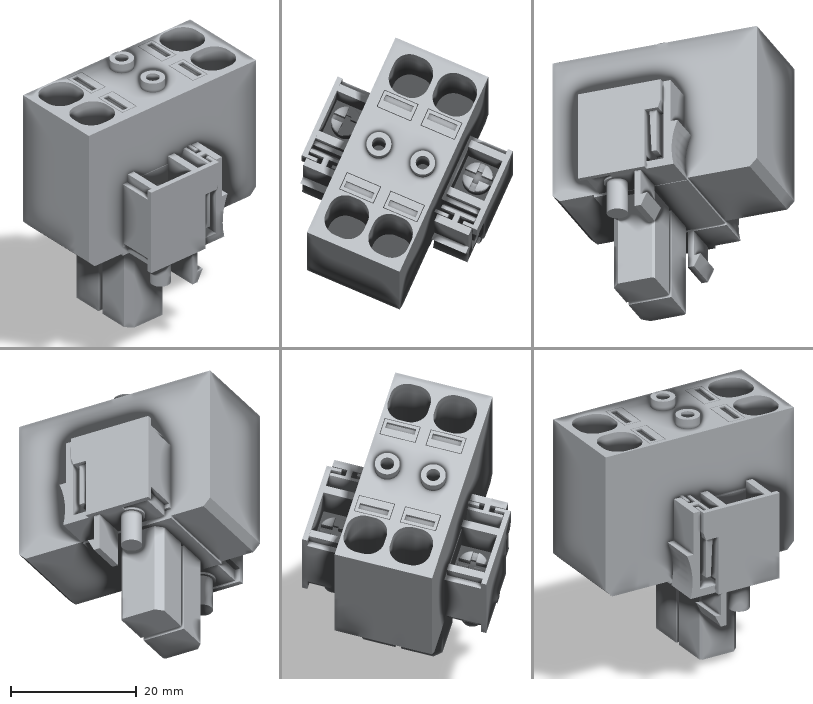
import cadquery as cq


TOP_Z = 40.9
HOUSING_BOTTOM_Z = 15.95
HOUSING_LEFT = -7.85
HOUSING_RIGHT = 8.3
HOUSING_DEPTH = 35.05
HOUSING_CHAMFER = 1.25
BASE_Z = 15.55
POLE_X = (-4.15, 3.5)

WIRE_Y = 12.7
WIRE_WIDTH = 6.65
WIRE_LENGTH = 6.9
WIRE_CORNER_RADIUS = 2.75
WIRE_DEPTH = 12.77
BOSS_DIAMETER = 3.95
BOSS_TOP_Z = 42.6
TEST_HOLE_DIAMETER = 2.2
TEST_HOLE_DEPTH = 5.1

PRONG_INNER_X = 0.45
PRONG_OUTER_X = 7.0
PRONG_FRONT_Y = -8.0
PRONG_BACK_Y = -0.65
PRONG_FRONT_CHAMFER = 1.15
PRONG_BACK_CHAMFER = 0.35

PUSHER_Y = 7.4
PUSHER_WIDTH = 5.75
PUSHER_LENGTH = 2.85
PUSHER_HEIGHT = 5.1
PUSHER_GAP = 0.105
SLOT_WIDTH = 4.85
SLOT_LENGTH = 1.05
SLOT_DEPTH = 0.5
SLOT_SHIFT = 0.4

FLANGE_X = 11.4
FLANGE_HALF = 3.0
PLATE_OUTER_X = 15.25
FLANGE_TOP_Z = 30.65
FRONT_Y = -10.4
SHELF_TOP_Z = 28.95
SHELF_BOTTOM_Z = 17.93
SHELF_BACK_Y = 1.02
INNER_WALL_BOTTOM_Z = 17.2
BLOCK_FRONT_Y = -9.45
BLOCK_BACK_Y = 0.25
BLOCK_BOTTOM_Z = 15.92
BLOCK_TOP_Z = 30.55
CHAMBER_FRONT_Y = -8.2
CHAMBER_BACK_Y = -1.05
CHAMBER_FLOOR_Z = 24.7
COLLAR_DIAMETER = 4.35

ARM_FRONT_Y = 3.9
ARM_BACK_Y = 5.15
ARM_TIP_Y = 6.35
ARM_TIP_Z = 23.3
ARM_HEEL_Y = 5.65
ARM_WAIST = (5.55, 20.65)
FLOOR_TOP_Z = 16.85
STEM_WIDTH = 0.9
STEM_FRONT_Y = 1.95
TONGUE_GAP = 0.1
TONGUE_BACK_Y = 2.73
TONGUE_TOP_Y = 2.2
TONGUE_NOSE = (1.4, 28.3)
TONGUE_BOTTOM = (1.87, 18.55)

LIP_TIP = 1.3
LIP_BACK_Y = 3.8
LIP_TOP_FRONT_Y = 3.28
LIP_FRONT_Y = 2.8
LIP_FRONT_SLOPE_Z = 28.95
LIP_BACK_SLOPE_Z = 27.05
LIP_BOTTOM_BACK_Y = 3.3
WINDOW_TOP_Z = 25.7

HOOK_BACK_Y = 0.05
HOOK_FRONT_Y = -1.02
HOOK_TIP = (1.15, 11.35)
HOOK_ROOT_Z = 11.2
HOOK_BOTTOM_Z = 9.25

SCREW_Y = -5.15
HEAD_DIAMETER = 4.85
HEAD_HEIGHT = 2.15
HEAD_CHAMFER = 0.13
SHANK_DIAMETER = 3.4
SHANK_BOTTOM_Z = 10.15
CROSS_WIDTH = 1.0
CROSS_DEPTH = 0.5
RECESS_LENGTH = 2.15
RECESS_DEPTH = 1.02


def box(x, y, z):
    """Box between pairs of limits along X, Y and Z."""
    size = (x[1] - x[0], y[1] - y[0], z[1] - z[0])
    return cq.Workplane("XY").box(*size, centered=False).translate((x[0], y[0], z[0]))


def cylinder(diameter, x, y, z):
    """Upright cylinder between the two heights in z."""
    return cq.Workplane("XY", origin=(x, y, z[0])).circle(diameter / 2).extrude(z[1] - z[0])


def prism(outline, x):
    """Closed YZ outline extruded between the two limits along X."""
    return outline.close().extrude(x[1] - x[0]).translate((x[0], 0, 0))


def wire_hole(x, y):
    """Almost round opening with short flats on its four sides."""
    hole = box(
        (x - WIRE_WIDTH / 2, x + WIRE_WIDTH / 2),
        (y - WIRE_LENGTH / 2, y + WIRE_LENGTH / 2),
        (TOP_Z - WIRE_DEPTH, TOP_Z),
    )
    return hole.edges("|Z").fillet(WIRE_CORNER_RADIUS)


def pusher_block(x, y, gap):
    """Pusher without its slot, enlarged by the gap on each side."""
    return box(
        (x - PUSHER_WIDTH / 2 - gap, x + PUSHER_WIDTH / 2 + gap),
        (y - PUSHER_LENGTH / 2 - gap, y + PUSHER_LENGTH / 2 + gap),
        (TOP_Z - PUSHER_HEIGHT, TOP_Z),
    )


def make_pusher(x, row):
    y = row * PUSHER_Y
    slot_y = y + row * SLOT_SHIFT
    slot = box(
        (x - SLOT_WIDTH / 2, x + SLOT_WIDTH / 2),
        (slot_y - SLOT_LENGTH / 2, slot_y + SLOT_LENGTH / 2),
        (TOP_Z - SLOT_DEPTH, TOP_Z),
    )
    return pusher_block(x, y, 0).cut(slot)


def prong(side):
    outline = [
        (PRONG_INNER_X, PRONG_FRONT_Y),
        (PRONG_OUTER_X - PRONG_FRONT_CHAMFER, PRONG_FRONT_Y),
        (PRONG_OUTER_X, PRONG_FRONT_Y + PRONG_FRONT_CHAMFER),
        (PRONG_OUTER_X, PRONG_BACK_Y - PRONG_BACK_CHAMFER),
        (PRONG_OUTER_X - PRONG_BACK_CHAMFER, PRONG_BACK_Y),
        (PRONG_INNER_X, PRONG_BACK_Y),
    ]
    return cq.Workplane("XY").polyline([(side * x, y) for x, y in outline]).close().extrude(BASE_Z)


def guide_lip(x):
    """Lip in front of the latching arm, tapered at the top front and at the bottom back."""
    outline = cq.Workplane("YZ").polyline([
        (LIP_BACK_Y, FLANGE_TOP_Z),
        (LIP_BACK_Y, LIP_BACK_SLOPE_Z),
        (LIP_BOTTOM_BACK_Y, WINDOW_TOP_Z),
        (LIP_FRONT_Y, WINDOW_TOP_Z),
        (LIP_FRONT_Y, LIP_FRONT_SLOPE_Z),
        (LIP_TOP_FRONT_Y, FLANGE_TOP_Z),
    ])
    return prism(outline, x)


def make_housing():
    half = HOUSING_DEPTH / 2
    body = box((HOUSING_LEFT, HOUSING_RIGHT), (-half, half), (HOUSING_BOTTOM_Z, TOP_Z))
    body = body.faces("<Z").edges("|X").chamfer(HOUSING_CHAMFER)
    body = body.union(
        box((HOUSING_LEFT, HOUSING_RIGHT), (FRONT_Y, ARM_HEEL_Y), (BASE_Z, HOUSING_BOTTOM_Z))
    )
    for side in (-1, 1):
        body = body.union(prong(side))
    lip_reach = FLANGE_X - LIP_TIP
    body = body.union(guide_lip((-lip_reach, HOUSING_LEFT)))
    body = body.union(guide_lip((HOUSING_RIGHT, lip_reach)))
    for x in POLE_X:
        body = body.union(cylinder(BOSS_DIAMETER, x, 0, (TOP_Z, BOSS_TOP_Z)))
        body = body.cut(cylinder(TEST_HOLE_DIAMETER, x, 0, (BOSS_TOP_Z - TEST_HOLE_DEPTH, BOSS_TOP_Z)))
        for row in (-1, 1):
            body = body.cut(wire_hole(x, row * WIRE_Y))
            body = body.cut(pusher_block(x, row * PUSHER_Y, PUSHER_GAP))
    return body


def side_plate():
    """Outer side plate of the flange, with its guide lip."""
    x = (-PLATE_OUTER_X, -FLANGE_X - FLANGE_HALF)
    plate = box(x, (FRONT_Y, SHELF_BACK_Y), (BASE_Z, FLANGE_TOP_Z))
    rear = cq.Workplane("YZ").polyline([
        (SHELF_BACK_Y, FLANGE_TOP_Z),
        (LIP_BACK_Y, FLANGE_TOP_Z),
        (LIP_BACK_Y, LIP_BACK_SLOPE_Z),
        (LIP_BOTTOM_BACK_Y, WINDOW_TOP_Z),
        (SHELF_BACK_Y, WINDOW_TOP_Z),
    ])
    lip = guide_lip((x[1], -FLANGE_X - LIP_TIP))
    return plate.union(prism(rear, x)).union(lip)


def latching_arm(x):
    """Sprung arm with its floor, the stem on its front and the tongue on the stem."""
    arm = prism(
        cq.Workplane("YZ")
        .moveTo(BLOCK_BACK_Y, BASE_Z)
        .lineTo(BLOCK_BACK_Y, FLOOR_TOP_Z)
        .lineTo(ARM_FRONT_Y, FLOOR_TOP_Z)
        .lineTo(ARM_FRONT_Y, FLANGE_TOP_Z)
        .lineTo(ARM_BACK_Y, FLANGE_TOP_Z)
        .lineTo(ARM_BACK_Y, ARM_TIP_Z)
        .lineTo(ARM_TIP_Y, ARM_TIP_Z)
        .threePointArc(ARM_WAIST, (ARM_HEEL_Y, BASE_Z)),
        x,
    )
    stem_x = (-FLANGE_X - STEM_WIDTH / 2, -FLANGE_X + STEM_WIDTH / 2)
    stem = box(stem_x, (STEM_FRONT_Y, ARM_FRONT_Y), (FLOOR_TOP_Z, TONGUE_BOTTOM[1]))
    stem = stem.union(box(stem_x, (TONGUE_BACK_Y, ARM_FRONT_Y), (TONGUE_BOTTOM[1], FLANGE_TOP_Z)))
    tongue = cq.Workplane("YZ").polyline([
        (TONGUE_BACK_Y, FLANGE_TOP_Z),
        (TONGUE_TOP_Y, FLANGE_TOP_Z),
        TONGUE_NOSE,
        TONGUE_BOTTOM,
        (TONGUE_BACK_Y, TONGUE_BOTTOM[1]),
    ])
    tongue_x = (x[0] + TONGUE_GAP, x[1] - TONGUE_GAP)
    return arm.union(stem).union(prism(tongue, tongue_x))


def hook(x):
    outline = cq.Workplane("YZ").polyline([
        (HOOK_FRONT_Y, BLOCK_BOTTOM_Z),
        (HOOK_BACK_Y, BLOCK_BOTTOM_Z),
        (HOOK_BACK_Y, HOOK_ROOT_Z),
        HOOK_TIP,
        (HOOK_BACK_Y, HOOK_BOTTOM_Z),
        (HOOK_FRONT_Y, HOOK_BOTTOM_Z),
    ])
    return prism(outline, x)


def screw_shape():
    """Left screw without its drive recess."""
    head_z = (CHAMBER_FLOOR_Z, CHAMBER_FLOOR_Z + HEAD_HEIGHT)
    head = cylinder(HEAD_DIAMETER, -FLANGE_X, SCREW_Y, head_z).faces(">Z").edges().chamfer(HEAD_CHAMFER)
    return head.union(cylinder(SHANK_DIAMETER, -FLANGE_X, SCREW_Y, (SHANK_BOTTOM_Z, CHAMBER_FLOOR_Z)))


def make_left_flange(inner_x):
    """Flange on the -X side, whose inner wall meets the housing at inner_x."""
    x = (-FLANGE_X - FLANGE_HALF, -FLANGE_X + FLANGE_HALF)
    shelf = box((x[0], inner_x), (FRONT_Y, SHELF_BACK_Y), (SHELF_BOTTOM_Z, SHELF_TOP_Z))
    inner_wall = box((x[1], inner_x), (FRONT_Y, SHELF_BACK_Y), (INNER_WALL_BOTTOM_Z, SHELF_TOP_Z))
    block = box(x, (BLOCK_FRONT_Y, BLOCK_BACK_Y), (BLOCK_BOTTOM_Z, BLOCK_TOP_Z))
    foot = box(x, (SCREW_Y, BLOCK_BACK_Y), (BASE_Z, BLOCK_BOTTOM_Z))
    collar = cylinder(COLLAR_DIAMETER, -FLANGE_X, SCREW_Y, (BASE_Z, BLOCK_BOTTOM_Z))
    chamber = box(x, (CHAMBER_FRONT_Y, CHAMBER_BACK_Y), (CHAMBER_FLOOR_Z, FLANGE_TOP_Z))
    flange = shelf.union(inner_wall).union(block).union(side_plate()).union(foot).union(collar)
    flange = flange.union(latching_arm(x)).union(hook(x))
    return flange.cut(chamber).cut(screw_shape())


def make_left_screw():
    top_z = CHAMBER_FLOOR_Z + HEAD_HEIGHT
    half = CROSS_WIDTH / 2
    radius = HEAD_DIAMETER / 2
    x_wide = (-FLANGE_X - radius, -FLANGE_X + radius)
    x_thin = (-FLANGE_X - half, -FLANGE_X + half)
    y_wide = (SCREW_Y - radius, SCREW_Y + radius)
    y_thin = (SCREW_Y - half, SCREW_Y + half)
    y_recess = (SCREW_Y - RECESS_LENGTH / 2, SCREW_Y + RECESS_LENGTH / 2)
    screw = screw_shape()
    screw = screw.cut(box(x_wide, y_thin, (top_z - RECESS_DEPTH, top_z)))
    screw = screw.cut(box(x_thin, y_wide, (top_z - CROSS_DEPTH, top_z)))
    return screw.cut(box(x_thin, y_recess, (top_z - RECESS_DEPTH, top_z)))


housing = make_housing()
left_flange = make_left_flange(HOUSING_LEFT)
right_flange = make_left_flange(-HOUSING_RIGHT).mirror("YZ")
left_screw = make_left_screw()
right_screw = left_screw.translate((2 * FLANGE_X, 0, 0))
pushers = [make_pusher(x, row) for x in POLE_X for row in (-1, 1)]

result = cq.Compound.makeCompound([
    housing.val(),
    left_flange.val(),
    right_flange.val(),
    left_screw.val(),
    right_screw.val(),
    *[pusher.val() for pusher in pushers],
])